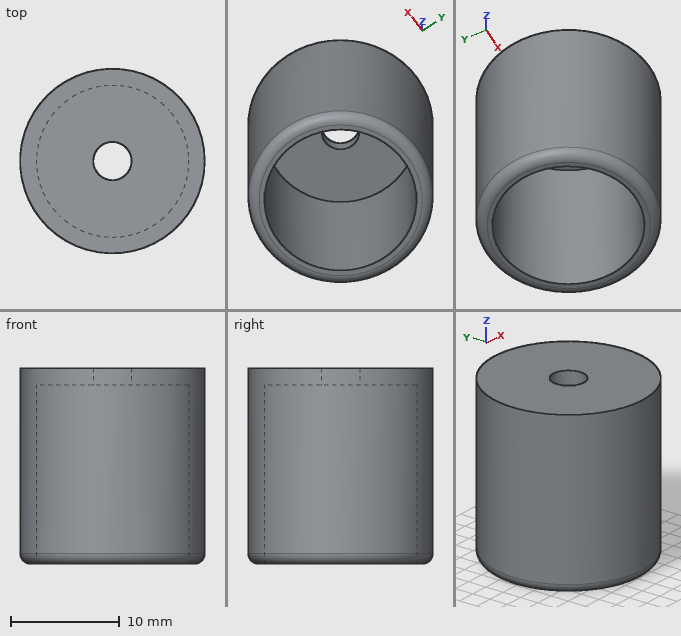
import cadquery as cq

outer_diameter = 17.0
height = 18.0
wall_thickness = 1.5
top_hole_diameter = 3.5
bottom_rim_radius = 1.0

bore_diameter = outer_diameter - 2 * wall_thickness
bore_depth = height - wall_thickness


def make_body():
    """Solid cylinder standing on Z = 0 with a rounded lower outer edge."""
    body = cq.Workplane("XY").circle(outer_diameter / 2).extrude(height)
    return body.faces("<Z").edges().fillet(bottom_rim_radius)


def make_bore():
    """Wide blind bore, open at the bottom, that leaves the top wall standing."""
    return cq.Workplane("XY").circle(bore_diameter / 2).extrude(bore_depth)


def make_top_hole():
    """Central hole through the top wall into the bore."""
    return cq.Workplane("XY").circle(top_hole_diameter / 2).extrude(height)


result = make_body().cut(make_bore()).cut(make_top_hole())